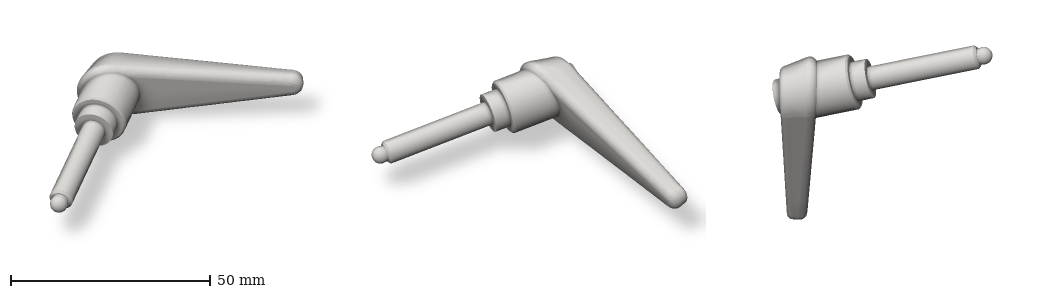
import cadquery as cq
import math


TOP_SLOPE = 15.0
BOTTOM_SLOPE = 20.0
TOP_AT_AXIS = 19.55
BOTTOM_AT_AXIS = 10.05
DRAFT = 10.0
HEAD_RADIUS = 8.3
HEAD_LEVEL = 11.6
TIP_LEVEL = 27.2
TIP_END = 45.5
TIP_LEAN = 0.18
SIDE_ANGLE = 3.3
TOP_FILLET = 1.5
BOTTOM_FILLET = 2.0

HUB_RADIUS = 7.0
HUB_CHAMFER = 0.5

BLANK_LOW = 5.35
BLANK_HIGH = 33.5
CUTTER_SIZE = 200.95

BUTTON_RADIUS = 4.5
BUTTON_WALL_TOP = 20.0
BUTTON_ROUND = 0.35
BUTTON_TOP = 20.6
SLEEVE_RADIUS = 5.0
SLEEVE_LENGTH = 4.0
STUD_RADIUS = 3.0
STUD_END = -32.5
STUD_CHAMFER = 0.6
BALL_RADIUS = 2.2
BALL_BOTTOM = -36.0
NECK_RADIUS = 2.1


def y_cylinder(radius, low, high):
    """Cylinder on the Y axis between two levels."""
    return cq.Workplane("XZ", origin=(0, low, 0)).circle(radius).extrude(low - high)


def head_radius(level):
    return HEAD_RADIUS - (level - HEAD_LEVEL) * math.tan(math.radians(DRAFT))


SIDE_SIN = math.sin(math.radians(SIDE_ANGLE))
SIDE_COS = math.cos(math.radians(SIDE_ANGLE))
TIP_CENTRE = (TIP_END - head_radius(TIP_LEVEL)) / (1 - SIDE_SIN)


def lever_outline(level):
    """Head and tip arcs joined by common tangents, at one level."""
    head = head_radius(level)
    centre = TIP_CENTRE + (TIP_LEVEL - level) * TIP_LEAN
    tip = head - centre * SIDE_SIN
    return (
        cq.Workplane("XZ", origin=(0, level, 0))
        .moveTo(head * SIDE_SIN, head * SIDE_COS)
        .threePointArc((-head, 0), (head * SIDE_SIN, -head * SIDE_COS))
        .lineTo(centre + tip * SIDE_SIN, -tip * SIDE_COS)
        .threePointArc((centre + tip, 0), (centre + tip * SIDE_SIN, tip * SIDE_COS))
        .close()
        .val()
    )


def half_space(level, slope, side):
    """Large block above (side 1) or below (side -1) a sloping plane."""
    block = cq.Workplane("XY").box(CUTTER_SIZE, CUTTER_SIZE, CUTTER_SIZE)
    block = block.translate((0, side * CUTTER_SIZE / 2, 0))
    return block.rotate((0, 0, 0), (0, 0, 1), slope).translate((0, level, 0))


def make_arm():
    """Drafted arm cut to a wedge, with rounded top and bottom edges."""
    outlines = [lever_outline(BLANK_LOW), lever_outline(BLANK_HIGH)]
    blank = cq.Workplane(cq.Solid.makeLoft(outlines, True))
    wedge = blank.cut(half_space(TOP_AT_AXIS, TOP_SLOPE, 1))
    wedge = wedge.cut(half_space(BOTTOM_AT_AXIS, BOTTOM_SLOPE, -1))
    edges = (
        (TOP_SLOPE, 1, TOP_FILLET),
        (BOTTOM_SLOPE, -1, BOTTOM_FILLET),
    )
    for slope, side, radius in edges:
        angle = math.radians(slope)
        normal = cq.Vector(-side * math.sin(angle), side * math.cos(angle), 0)
        face = wedge.faces(cq.selectors.ParallelDirSelector(normal))
        wedge = face.edges().fillet(radius)
    return wedge


def make_insert():
    """Revolved button, sleeve, stud and ball tip."""
    rim_radius = BUTTON_RADIUS - BUTTON_ROUND
    rim_level = BUTTON_WALL_TOP + BUTTON_ROUND
    round_mid = BUTTON_ROUND * math.sqrt(0.5)
    dome_rise = BUTTON_TOP - rim_level
    dome_radius = (rim_radius**2 + dome_rise**2) / (2 * dome_rise)
    dome_mid_radius = rim_radius / 2
    dome_mid = BUTTON_TOP - dome_radius + math.sqrt(dome_radius**2 - dome_mid_radius**2)
    ball_centre = BALL_BOTTOM + BALL_RADIUS
    neck_foot = ball_centre + math.sqrt(BALL_RADIUS**2 - NECK_RADIUS**2)
    return (
        cq.Workplane("XY")
        .moveTo(0, BUTTON_TOP)
        .threePointArc((dome_mid_radius, dome_mid), (rim_radius, rim_level))
        .threePointArc((rim_radius + round_mid, BUTTON_WALL_TOP + round_mid), (BUTTON_RADIUS, BUTTON_WALL_TOP))
        .lineTo(BUTTON_RADIUS, 0)
        .lineTo(SLEEVE_RADIUS, 0)
        .lineTo(SLEEVE_RADIUS, -SLEEVE_LENGTH)
        .lineTo(STUD_RADIUS, -SLEEVE_LENGTH)
        .lineTo(STUD_RADIUS, STUD_END + STUD_CHAMFER)
        .lineTo(STUD_RADIUS - STUD_CHAMFER, STUD_END)
        .lineTo(NECK_RADIUS, STUD_END)
        .lineTo(NECK_RADIUS, neck_foot)
        .threePointArc((BALL_RADIUS, ball_centre), (0, BALL_BOTTOM))
        .close()
        .revolve(360, (0, 0, 0), (0, 1, 0))
    )


def make_lever():
    """Arm with its hub, bored through for the button."""
    hub_top = (BOTTOM_AT_AXIS + TOP_AT_AXIS) / 2
    hub = y_cylinder(HUB_RADIUS, 0, hub_top).faces("<Y").chamfer(HUB_CHAMFER)
    bore = y_cylinder(BUTTON_RADIUS, 0, BLANK_HIGH)
    return make_arm().union(hub).cut(bore).solids()


lever = make_lever()
insert = make_insert()

result = cq.Compound.makeCompound([lever.val(), insert.val()])